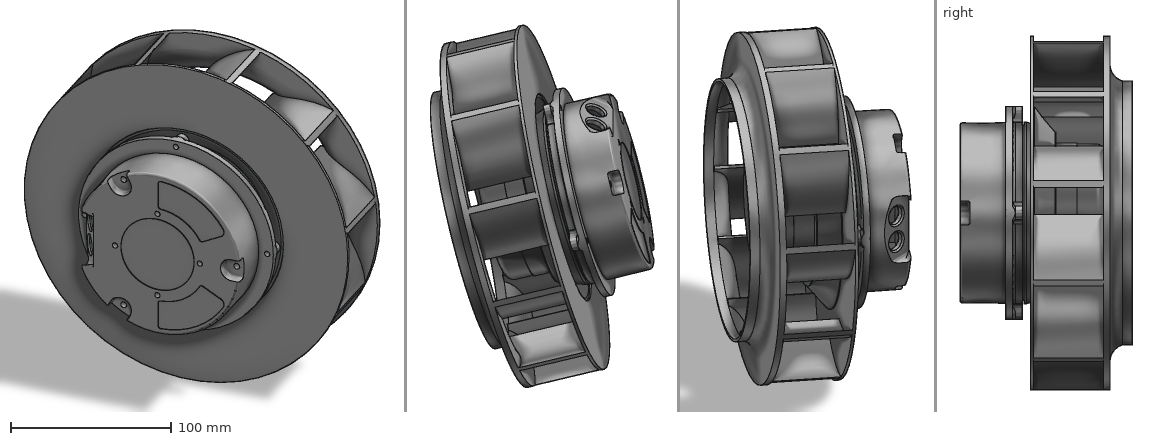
import cadquery as cq
import math


HOUSING_RADIUS = 56.5
HOUSING_FACE_RADIUS = 56.3
HOUSING_HEIGHT = 28.5
RIM_FILLET = 1.8
RECESS_DEPTH = 0.5
BADGE_RADIUS = 25.0
LABEL_INNER_RADIUS = 32.7
LABEL_OUTER_RADIUS = 52.3
LABEL_START_ANGLE = 27.5
LABEL_END_ANGLE = 90.0
LABEL_CORNER = 1.8
LABEL_WIDE_CORNER = 4.0
LABEL_SHIFT = 0.5
FACE_HOLE_CIRCLE = 29.0
FACE_HOLE_RADIUS = 1.8
FACE_HOLE_DEPTH = 6.6
FACE_HOLE_COUNT = 4

NOTCH_COUNT = 3
NOTCH_CIRCLE = 50.5
NOTCH_RADIUS = 7.5
NOTCH_FILLET = 1.5
NOTCH_DEPTH = 6.2
SCREW_CIRCLE = 51.5
SCREW_HOLE_RADIUS = 2.0
SCREW_HOLE_DEPTH = 6.6

ENTRY_FACE_X = -43.5
ENTRY_LENGTH = 18.0
ENTRY_HALF_WIDTH = 19.9
ENTRY_SIDE_SLOPE = 0.3
ENTRY_FILLET = 3.0
CABLE_HOLE_Y = 9.0
CABLE_HOLE_Z = 8.6
CABLE_HOLE_RADIUS = 6.0
CABLE_HOLE_CHAMFER = 1.0
CABLE_HOLE_DEPTH = 5.5
CHAMBER_WALL = 5.0
CHAMBER_FRONT_Y = 6.6
CHAMBER_BACK_Y = 21.0
CHAMBER_OUTER_X = -50.8
CHAMBER_INNER_X = -31.0
CHAMBER_HALF_WIDTH = 16.5

FLANGE_RADIUS = 66.5
FLANGE_THICKNESS = 4.2
FLANGE_HOLE_CIRCLE = 62.3
FLANGE_HOLE_RADIUS = 1.8
FLANGE_HOLE_COUNT = 4
COLLAR_RADIUS = 56.8
COLLAR_HEIGHT = 6.2
COLLAR_FILLET = 1.8
SPIGOT_RADIUS = 54.8
SPIGOT_HEIGHT = 1.0
LUG_ROOT_FILLET = 2.7
LUG_FOOT = 1.8

FLANGE_TOP = HOUSING_HEIGHT + FLANGE_THICKNESS
COLLAR_TOP = FLANGE_TOP + COLLAR_HEIGHT
SPIGOT_TOP = COLLAR_TOP + SPIGOT_HEIGHT

IMPELLER_RADIUS = 110.5
BACK_PLATE_Y = 44.0
SHEET = 2.0
HUB_STEP = 0.7
HUB_OPENING_RADIUS = 66.5
HUB_OPENING_DEPTH = 1.0
CONE_MOUTH_RADIUS = 64.5
CONE_BASE_RADIUS = 66.0
CONE_TOP_RADIUS = 50.5
CONE_TOP_Y = 59.9
CONE_RIM = 0.7
SHROUD_Y = 89.5
SHROUD_THICKNESS = 4.2
THROAT_Y = 101.4
INLET_Y = 107.5
INLET_RADIUS = 82.4
INLET_WALL = 1.8
SHROUD_FLARE_INNER = 99.0
SHROUD_FLARE_OUTER = 92.8
BLADE_COUNT = 11
BLADE_ROOT_RADIUS = 78.5
BLADE_SWEEP = 21.6
BLADE_BULGE = 5.0
BLADE_TIP_ANGLE = 10.5
BLADE_OVERRUN_ANGLE = 10.0

BELL_RADIUS = 56.8
BELL_LIP = 1.5
BELL_TOP_RADIUS = 53.0
BELL_TOP_Y = 52.8
ROTOR_BASE_RADIUS = 43.7
ROTOR_STEP_Y = 72.9
ROTOR_RADIUS = 43.0
ROTOR_TOP_Y = 90.1
ROTOR_FILLET = 5.3


def polar(radius, degrees):
    angle = math.radians(degrees)
    return radius * math.cos(angle), radius * math.sin(angle)


def turned(profile):
    """Solid of revolution about the Y axis from a (radius, y) outline."""
    return profile.close().revolve(360, (0, 0, 0), (0, 1, 0))


def plane_at(y):
    """Workplane parallel to XZ; a negative extrusion grows toward +Y."""
    return cq.Workplane("XZ", origin=(0, y, 0))


def about_axis(body, degrees):
    """Turn a body about the Y axis, from +X toward +Z."""
    return body.rotate((0, 0, 0), (0, 1, 0), -degrees)


def arc_middle(start, end, bulge):
    """Middle point of an arc that bulges to the right of the line from start to end."""
    dx = end[0] - start[0]
    dy = end[1] - start[1]
    length = math.hypot(dx, dy)
    middle_x = (start[0] + end[0]) / 2 + bulge * dy / length
    middle_y = (start[1] + end[1]) / 2 - bulge * dx / length
    return middle_x, middle_y



def label_recess(side):
    """Shallow ring sector on the +Z (side = 1) or -Z (side = -1) half of the housing face."""
    middle = (LABEL_START_ANGLE + LABEL_END_ANGLE) / 2

    def point(radius, degrees):
        x, z = polar(radius, degrees)
        return x, side * z

    def round_corner(body, radius, degrees, fillet):
        x, z = point(radius, degrees)
        corner = cq.selectors.NearestToPointSelector((x, RECESS_DEPTH / 2, z))
        return body.edges("|Y").edges(corner).fillet(fillet)

    sector = (
        plane_at(0)
        .moveTo(*point(LABEL_INNER_RADIUS, LABEL_START_ANGLE))
        .lineTo(*point(LABEL_OUTER_RADIUS, LABEL_START_ANGLE))
        .threePointArc(point(LABEL_OUTER_RADIUS, middle), point(LABEL_OUTER_RADIUS, LABEL_END_ANGLE))
        .lineTo(*point(LABEL_INNER_RADIUS, LABEL_END_ANGLE))
        .threePointArc(point(LABEL_INNER_RADIUS, middle), point(LABEL_INNER_RADIUS, LABEL_START_ANGLE))
        .close()
        .extrude(-RECESS_DEPTH)
    )
    sector = round_corner(sector, LABEL_OUTER_RADIUS, LABEL_START_ANGLE, LABEL_WIDE_CORNER)
    for radius, degrees in (
        (LABEL_INNER_RADIUS, LABEL_START_ANGLE),
        (LABEL_INNER_RADIUS, LABEL_END_ANGLE),
        (LABEL_OUTER_RADIUS, LABEL_END_ANGLE),
    ):
        sector = round_corner(sector, radius, degrees, LABEL_CORNER)
    return sector.translate((LABEL_SHIFT, 0, 0))


def screw_notch():
    """U-shaped notch with a rounded floor, open at the rim, with a screw hole in its floor."""
    open_end = HOUSING_RADIUS + 2 * NOTCH_FILLET
    notch = (
        plane_at(0)
        .moveTo(open_end, NOTCH_RADIUS)
        .lineTo(NOTCH_CIRCLE, NOTCH_RADIUS)
        .threePointArc((NOTCH_CIRCLE - NOTCH_RADIUS, 0), (NOTCH_CIRCLE, -NOTCH_RADIUS))
        .lineTo(open_end, -NOTCH_RADIUS)
        .close()
        .extrude(-NOTCH_DEPTH)
    )
    notch = notch.faces(">Y").edges().fillet(NOTCH_FILLET)
    screw_hole = (
        plane_at(0)
        .center(SCREW_CIRCLE, 0)
        .circle(SCREW_HOLE_RADIUS)
        .extrude(-NOTCH_DEPTH - SCREW_HOLE_DEPTH)
    )
    return notch.union(screw_hole)


def cable_entry():
    """Slanted pocket with flaring side walls and two holes square to its floor."""
    run = HOUSING_RADIUS + ENTRY_FACE_X
    far_x = ENTRY_FACE_X - 2 * run
    far_y = 2 * ENTRY_LENGTH
    wedge = (
        cq.Workplane("XY")
        .polyline([
            (ENTRY_FACE_X, 0),
            (far_x, far_y),
            (far_x, 0),
        ])
        .close()
        .extrude(HOUSING_RADIUS, both=True)
    )
    far_width = ENTRY_HALF_WIDTH + 2 * run * ENTRY_SIDE_SLOPE
    walls = (
        plane_at(0)
        .polyline([
            (ENTRY_FACE_X, ENTRY_HALF_WIDTH),
            (far_x, far_width),
            (far_x, -far_width),
            (ENTRY_FACE_X, -ENTRY_HALF_WIDTH),
        ])
        .close()
        .extrude(-far_y)
    )
    pocket = wedge.intersect(walls)
    pocket = pocket.faces(">X").edges("not |Z").fillet(ENTRY_FILLET)

    inward = cq.Vector(ENTRY_LENGTH, run, 0)
    hole_x = ENTRY_FACE_X - CABLE_HOLE_Y * run / ENTRY_LENGTH
    for side in (1, -1):
        mouth = cq.Vector(hole_x, CABLE_HOLE_Y, side * CABLE_HOLE_Z)
        hole = cq.Solid.makeCylinder(CABLE_HOLE_RADIUS, CABLE_HOLE_DEPTH, mouth, inward)
        chamfer = cq.Solid.makeCone(
            CABLE_HOLE_RADIUS + CABLE_HOLE_CHAMFER, CABLE_HOLE_RADIUS, CABLE_HOLE_CHAMFER, mouth, inward
        )
        pocket = pocket.union(cq.Workplane(hole)).union(cq.Workplane(chamfer))
    return pocket


def cable_chamber():
    """Hollow behind the slanted floor that both cable holes open into."""
    slope = (HOUSING_RADIUS + ENTRY_FACE_X) / ENTRY_LENGTH
    front_x = ENTRY_FACE_X - CHAMBER_FRONT_Y * slope + CHAMBER_WALL
    corner_y = (ENTRY_FACE_X + CHAMBER_WALL - CHAMBER_OUTER_X) / slope
    return (
        cq.Workplane("XY")
        .polyline([
            (front_x, CHAMBER_FRONT_Y),
            (CHAMBER_OUTER_X, corner_y),
            (CHAMBER_OUTER_X, CHAMBER_BACK_Y),
            (CHAMBER_INNER_X, CHAMBER_BACK_Y),
            (CHAMBER_INNER_X, CHAMBER_FRONT_Y),
        ])
        .close()
        .extrude(CHAMBER_HALF_WIDTH, both=True)
    )


def make_housing():
    body = turned(
        cq.Workplane("XY")
        .lineTo(HOUSING_FACE_RADIUS, 0)
        .lineTo(HOUSING_RADIUS, HOUSING_HEIGHT)
        .lineTo(0, HOUSING_HEIGHT)
    )
    body = body.faces("<Y").edges().fillet(RIM_FILLET)
    body = body.cut(plane_at(0).circle(BADGE_RADIUS).extrude(-RECESS_DEPTH))
    for side in (1, -1):
        body = body.cut(label_recess(side))
    face_holes = (
        plane_at(0)
        .polarArray(FACE_HOLE_CIRCLE, 0, 360, FACE_HOLE_COUNT)
        .circle(FACE_HOLE_RADIUS)
        .extrude(-FACE_HOLE_DEPTH)
    )
    body = body.cut(face_holes)
    for index in range(NOTCH_COUNT):
        body = body.cut(about_axis(screw_notch(), index * 360 / NOTCH_COUNT))
    return body.cut(cable_entry()).cut(cable_chamber())



def flange_lug():
    """Round-ended lug behind a flange hole, flaring at the collar, with a conical foot."""
    half_width = FLANGE_RADIUS - FLANGE_HOLE_CIRCLE
    root_width = half_width + LUG_ROOT_FILLET
    flare_end = COLLAR_RADIUS + LUG_ROOT_FILLET
    turn = LUG_ROOT_FILLET * (1 - math.sqrt(0.5))
    outline = (
        plane_at(FLANGE_TOP)
        .moveTo(SPIGOT_RADIUS, -root_width)
        .lineTo(COLLAR_RADIUS, -root_width)
        .threePointArc((COLLAR_RADIUS + turn, -half_width - turn), (flare_end, -half_width))
        .lineTo(FLANGE_HOLE_CIRCLE, -half_width)
        .threePointArc((FLANGE_RADIUS, 0), (FLANGE_HOLE_CIRCLE, half_width))
        .lineTo(flare_end, half_width)
        .threePointArc((COLLAR_RADIUS + turn, half_width + turn), (COLLAR_RADIUS, root_width))
        .lineTo(SPIGOT_RADIUS, root_width)
        .close()
    )
    lug = outline.extrude(-COLLAR_HEIGHT)
    foot_center = cq.Vector(FLANGE_HOLE_CIRCLE, FLANGE_TOP, 0)
    cone = cq.Solid.makeCone(half_width + LUG_FOOT, half_width, LUG_FOOT, foot_center, cq.Vector(0, 1, 0))
    limit = plane_at(FLANGE_TOP).circle(FLANGE_RADIUS).extrude(-LUG_FOOT)
    foot = limit.intersect(cq.Workplane(cone))
    return lug.union(foot)


def make_flange():
    fillet_turn = COLLAR_FILLET * (1 - math.sqrt(0.5))
    body = turned(
        cq.Workplane("XY")
        .moveTo(0, HOUSING_HEIGHT)
        .lineTo(FLANGE_RADIUS, HOUSING_HEIGHT)
        .lineTo(FLANGE_RADIUS, FLANGE_TOP)
        .lineTo(COLLAR_RADIUS + COLLAR_FILLET, FLANGE_TOP)
        .threePointArc(
            (COLLAR_RADIUS + fillet_turn, FLANGE_TOP + fillet_turn),
            (COLLAR_RADIUS, FLANGE_TOP + COLLAR_FILLET),
        )
        .lineTo(COLLAR_RADIUS, COLLAR_TOP)
        .lineTo(SPIGOT_RADIUS, COLLAR_TOP)
        .lineTo(SPIGOT_RADIUS, SPIGOT_TOP)
        .lineTo(0, SPIGOT_TOP)
    )
    for index in range(FLANGE_HOLE_COUNT):
        body = body.union(about_axis(flange_lug(), index * 360 / FLANGE_HOLE_COUNT))
    holes = (
        plane_at(HOUSING_HEIGHT)
        .polarArray(FLANGE_HOLE_CIRCLE, 0, 360, FLANGE_HOLE_COUNT)
        .circle(FLANGE_HOLE_RADIUS)
        .extrude(HOUSING_HEIGHT - COLLAR_TOP)
    )
    return body.cut(holes)



def make_rotor():
    body = turned(
        cq.Workplane("XY")
        .moveTo(0, SPIGOT_TOP)
        .lineTo(BELL_RADIUS, SPIGOT_TOP)
        .lineTo(BELL_RADIUS, SPIGOT_TOP + BELL_LIP)
        .lineTo(BELL_TOP_RADIUS, BELL_TOP_Y)
        .lineTo(ROTOR_BASE_RADIUS, BELL_TOP_Y)
        .lineTo(ROTOR_BASE_RADIUS, ROTOR_STEP_Y)
        .lineTo(ROTOR_RADIUS, ROTOR_STEP_Y)
        .lineTo(ROTOR_RADIUS, ROTOR_TOP_Y)
        .lineTo(0, ROTOR_TOP_Y)
    )
    return body.faces(">Y").edges().fillet(ROTOR_FILLET)



def flare_points(start, end):
    """Middle and end of an arc that leaves a flat plate tangentially at start and climbs to end."""
    run = start[0] - end[0]
    rise = end[1] - start[1]
    sweep = 2 * math.atan2(rise, run)
    radius = run / math.sin(sweep)
    middle = (
        start[0] - radius * math.sin(sweep / 2),
        start[1] + radius * (1 - math.cos(sweep / 2)),
    )
    return middle, end


THROAT_RADIUS = INLET_RADIUS - INLET_WALL
INNER_FLARE = flare_points((SHROUD_FLARE_INNER, SHROUD_Y), (THROAT_RADIUS, THROAT_Y))
OUTER_FLARE = flare_points((SHROUD_FLARE_OUTER, SHROUD_Y + SHROUD_THICKNESS), (INLET_RADIUS, THROAT_Y))


def back_plate():
    """Sheet disc whose middle rises as a cone to a flat ring around the rotor."""
    return turned(
        cq.Workplane("XY")
        .moveTo(IMPELLER_RADIUS, BACK_PLATE_Y)
        .lineTo(IMPELLER_RADIUS, BACK_PLATE_Y + SHEET)
        .lineTo(CONE_BASE_RADIUS, BACK_PLATE_Y + SHEET)
        .lineTo(CONE_BASE_RADIUS, BACK_PLATE_Y + SHEET + HUB_STEP)
        .lineTo(CONE_TOP_RADIUS, CONE_TOP_Y - CONE_RIM)
        .lineTo(CONE_TOP_RADIUS, CONE_TOP_Y)
        .lineTo(ROTOR_BASE_RADIUS, CONE_TOP_Y)
        .lineTo(ROTOR_BASE_RADIUS, CONE_TOP_Y - SHEET)
        .lineTo(CONE_TOP_RADIUS - SHEET / 2, CONE_TOP_Y - SHEET)
        .lineTo(CONE_MOUTH_RADIUS, BACK_PLATE_Y + HUB_OPENING_DEPTH)
        .lineTo(HUB_OPENING_RADIUS, BACK_PLATE_Y + HUB_OPENING_DEPTH)
        .lineTo(HUB_OPENING_RADIUS, BACK_PLATE_Y)
    )


def shroud():
    """Flat ring that flares into the cylindrical inlet."""
    return turned(
        cq.Workplane("XY")
        .moveTo(IMPELLER_RADIUS, SHROUD_Y)
        .lineTo(SHROUD_FLARE_INNER, SHROUD_Y)
        .threePointArc(*INNER_FLARE)
        .lineTo(THROAT_RADIUS, INLET_Y)
        .lineTo(INLET_RADIUS, INLET_Y)
        .lineTo(INLET_RADIUS, THROAT_Y)
        .threePointArc(OUTER_FLARE[0], (SHROUD_FLARE_OUTER, SHROUD_Y + SHROUD_THICKNESS))
        .lineTo(IMPELLER_RADIUS, SHROUD_Y + SHROUD_THICKNESS)
    )


def blade_ring():
    """Space the blades fill between the back plate and the shroud."""
    foot_y = BACK_PLATE_Y + SHEET
    inner_radius = BLADE_ROOT_RADIUS - SHEET
    return turned(
        cq.Workplane("XY")
        .moveTo(inner_radius, foot_y)
        .lineTo(IMPELLER_RADIUS, foot_y)
        .lineTo(IMPELLER_RADIUS, SHROUD_Y)
        .lineTo(SHROUD_FLARE_INNER, SHROUD_Y)
        .threePointArc(*INNER_FLARE)
        .lineTo(inner_radius, THROAT_Y)
    )


def blade_blank():
    """Curved sheet, square at the root and too long at the tip, which lies on the +X axis."""
    tip = polar(IMPELLER_RADIUS, 0)
    root = polar(BLADE_ROOT_RADIUS, BLADE_SWEEP)
    chord = math.dist(tip, root)
    radius = (chord ** 2 / 4 + BLADE_BULGE ** 2) / (2 * BLADE_BULGE)
    center = arc_middle(tip, root, BLADE_BULGE - radius)
    tip_angle = math.degrees(math.atan2(tip[1] - center[1], tip[0] - center[0]))
    root_angle = math.degrees(math.atan2(root[1] - center[1], root[0] - center[0]))
    start = tip_angle - BLADE_OVERRUN_ANGLE
    end = root_angle
    middle = (start + end) / 2
    inner = radius - SHEET
    return (
        plane_at(BACK_PLATE_Y)
        .center(*center)
        .moveTo(*polar(radius, start))
        .threePointArc(polar(radius, middle), polar(radius, end))
        .lineTo(*polar(inner, end))
        .threePointArc(polar(inner, middle), polar(inner, start))
        .close()
        .extrude(BACK_PLATE_Y - INLET_Y)
    )


def make_impeller():
    body = back_plate().union(shroud())
    blade = blade_blank().intersect(blade_ring())
    for index in range(BLADE_COUNT):
        body = body.union(about_axis(blade, BLADE_TIP_ANGLE + index * 360 / BLADE_COUNT))
    return body


housing = make_housing()
flange = make_flange()
rotor = make_rotor()
impeller = make_impeller()
bodies = [housing, flange, rotor, impeller]
result = cq.Compound.makeCompound([body.solids().val() for body in bodies])